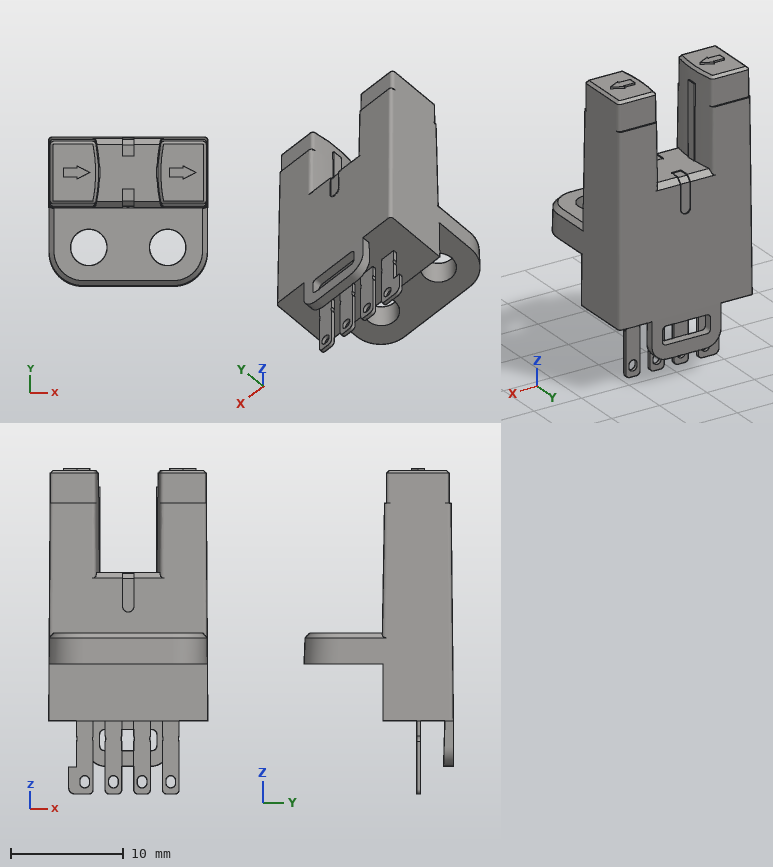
import cadquery as cq
import math


TOTAL_HEIGHT = 28.88
PIN_LENGTH = 6.5

BASE_WIDTH = 14.12
CROWN_WIDTH = 13.83
REAR_TOP_Y = -0.2
FRONT_BOTTOM_Y = -6.27
FRONT_FLANGE_Y = -6.32
FRONT_TOP_Y = -6.12
HEAD_SETBACK = 0.17
STEP_Z = 19.3
HOUSING_TOP_Z = 22.2
EDGE_RADIUS = 0.32
TOP_CHAMFER = 0.25
MIDDLE_Y = -3.15

SLOT_FLOOR_Z = 13.17
SLOT_FLOOR_HALF = 2.55
SLOT_TOP_HALF = 2.63
BULGE_RADIUS = 13.28
FLOOR_CHAMFER = 0.52
FLOOR_CHAMFER_Z = SLOT_FLOOR_Z - FLOOR_CHAMFER

STRIP_WIDTH = 1.0
STRIP_TOP_Z = 20.75
STRIP_HALF_GAP = 2.48

MARK_WIDTH = 1.0
MARK_BOTTOM_Z = 9.65
MARK_DEPTH = 0.1
MARK_FREE_LENGTH = 2.9

ARROW_HEIGHT = TOTAL_HEIGHT - PIN_LENGTH - HOUSING_TOP_Z
ARROW_TAILS_X = (-5.75, 3.67)
ARROW_LENGTH = 2.35
ARROW_SHAFT_LENGTH = 1.18
ARROW_SHAFT_WIDTH = 0.8
ARROW_HEAD_WIDTH = 1.18

FLANGE_BOTTOM_Z = 5.03
FLANGE_TOP_Z = 7.8
FLANGE_CHAMFER = 0.43
FLANGE_EDGE_Z = FLANGE_TOP_Z - FLANGE_CHAMFER
FLANGE_END_Y = -13.25
FLANGE_END_TAPER = 0.1
FLANGE_CORNER_RADIUS = 3.0
HOLE_DIAMETER = 3.2
HOLE_SPACING = 7.0
HOLE_Y = -9.8

PIN_COUNT = 4
PIN_PITCH = 2.55
PIN_WIDTH = 1.5
PIN_THICKNESS = 0.35
PIN_ROW_X = -0.043
PIN_ROW_Y = -3.1
PIN_CORNER_RADIUS = 0.4
PIN_HOLE_WIDTH = 0.85
PIN_HOLE_HEIGHT = 1.07
PIN_HOLE_Z = -5.4
NOTCH_Z = -1.6
NOTCH_LENGTH = 0.52
NOTCH_DEPTH = 0.05
TAB_WIDTH = 0.7
TAB_TOP_Z = -4.07
TAB_CORNER_RADIUS = 0.58
EMBED = 0.58

TONGUE_WIDTH = 7.28
TONGUE_LENGTH = 4.05
TONGUE_ROOT_THICKNESS = 0.78
TONGUE_TIP_THICKNESS = 0.9
TONGUE_CORNER_RADIUS = 1.65
WINDOW_WIDTH = 5.05
WINDOW_TOP_Z = -0.78
WINDOW_BOTTOM_Z = -2.63
WINDOW_CORNER_RADIUS = 0.4


def between(z, z0, value0, z1, value1):
    """Value at height z on the straight line through two known heights."""
    return value0 + (value1 - value0) * (z - z0) / (z1 - z0)


def half_width(z):
    return between(z, 0, BASE_WIDTH, HOUSING_TOP_Z, CROWN_WIDTH) / 2


def rear_y(z):
    return between(z, 0, 0, STEP_Z, REAR_TOP_Y)


def front_y(z):
    return between(z, FLANGE_EDGE_Z, FRONT_FLANGE_Y, STEP_Z, FRONT_TOP_Y)


def bulge_half_gap(z):
    return between(z, SLOT_FLOOR_Z, SLOT_FLOOR_HALF, HOUSING_TOP_Z, SLOT_TOP_HALF)


def skin(lower, upper):
    """Solid with straight walls between two closed wires."""
    return cq.Workplane(cq.Solid.makeLoft([lower.val(), upper.val()], True))


def upright_edges(body):
    """Edges that rise from the bottom face to the top face."""
    return body.edges("not (>Z or <Z)")


def block_plan(z, front):
    side = half_width(z)
    rear = rear_y(z)
    corners = [(side, rear), (side, front), (-side, front), (-side, rear)]
    return cq.Workplane("XY", origin=(0, 0, z)).polyline(corners).close()


def slot_end_half(z, end_y):
    """Half gap of the slot where the bulging arm face reaches the given Y."""
    sagitta = BULGE_RADIUS - math.sqrt(BULGE_RADIUS**2 - (end_y - MIDDLE_Y) ** 2)
    return bulge_half_gap(z) + sagitta


def arm_plan(z, setback=0.0):
    """Sharp-cornered section of the right arm, convex toward the slot."""
    side = half_width(z)
    rear = rear_y(min(z, STEP_Z)) - setback
    front = front_y(min(z, STEP_Z)) + setback
    front_end = (slot_end_half(z, front), front)
    rear_end = (slot_end_half(z, rear), rear)
    return (
        cq.Workplane("XY", origin=(0, 0, z))
        .moveTo(*front_end)
        .lineTo(side, front)
        .lineTo(side, rear)
        .lineTo(*rear_end)
        .threePointArc((bulge_half_gap(z), MIDDLE_Y), front_end)
        .close()
    )


def make_block():
    """Closed lower part of the housing, up to the chamfers of the slot floor."""
    base = skin(block_plan(0, FRONT_BOTTOM_Y), block_plan(FLANGE_EDGE_Z, FRONT_BOTTOM_Y))
    base = upright_edges(base).edges(">Y").fillet(EDGE_RADIUS)
    upper = skin(
        block_plan(FLANGE_EDGE_Z, FRONT_FLANGE_Y),
        block_plan(FLOOR_CHAMFER_Z, front_y(FLOOR_CHAMFER_Z)),
    )
    return base.union(upright_edges(upper).fillet(EDGE_RADIUS))


def slot_floor_profile():
    """YZ points, rear to front, of the slot floor and its two chamfers."""
    rear = rear_y(FLOOR_CHAMFER_Z)
    front = front_y(FLOOR_CHAMFER_Z)
    return [
        (rear, FLOOR_CHAMFER_Z),
        (rear - FLOOR_CHAMFER, SLOT_FLOOR_Z),
        (front + FLOOR_CHAMFER, SLOT_FLOOR_Z),
        (front, FLOOR_CHAMFER_Z),
    ]


def make_slot_floor():
    """Floor of the slot, chamfered at the front and rear, reaching into both arms."""
    half = slot_end_half(FLOOR_CHAMFER_Z, front_y(FLOOR_CHAMFER_Z)) + EDGE_RADIUS
    return cq.Workplane("YZ").polyline(slot_floor_profile()).close().extrude(half, both=True)


def make_right_arm():
    shank = skin(arm_plan(FLOOR_CHAMFER_Z), arm_plan(STEP_Z))
    shank = upright_edges(shank).fillet(EDGE_RADIUS)
    head = skin(arm_plan(STEP_Z, HEAD_SETBACK), arm_plan(HOUSING_TOP_Z, HEAD_SETBACK))
    head = upright_edges(head).fillet(EDGE_RADIUS).faces(">Z").chamfer(TOP_CHAMFER)
    strip = cq.Workplane("XY").box(
        EMBED, STRIP_WIDTH, STRIP_TOP_Z - FLOOR_CHAMFER_Z, centered=(False, True, False)
    ).translate((STRIP_HALF_GAP, MIDDLE_Y, FLOOR_CHAMFER_Z))
    return shank.union(head).union(strip)


def make_centre_mark():
    """Cutter for the mark: a round-bottomed prism around an untouched core."""
    radius = MARK_WIDTH / 2
    centre_z = MARK_BOTTOM_Z + radius
    reach = -FRONT_FLANGE_Y
    prism = (
        cq.Workplane("XZ", origin=(0, EMBED, 0))
        .moveTo(-radius, SLOT_FLOOR_Z + EMBED)
        .lineTo(-radius, centre_z)
        .threePointArc((0, MARK_BOTTOM_Z), (radius, centre_z))
        .lineTo(radius, SLOT_FLOOR_Z + EMBED)
        .close()
        .extrude(reach + 2 * EMBED)
    )
    rear_foot = (rear_y(FLANGE_TOP_Z), FLANGE_TOP_Z)
    front_foot = (front_y(FLANGE_TOP_Z), FLANGE_TOP_Z)
    core_profile = [rear_foot] + slot_floor_profile() + [front_foot]
    core = (
        cq.Workplane("YZ")
        .polyline(core_profile)
        .close()
        .offset2D(-MARK_DEPTH)
        .extrude(MARK_WIDTH, both=True)
    )
    free_floor = cq.Workplane("XY").box(
        2 * MARK_WIDTH, MARK_FREE_LENGTH, SLOT_FLOOR_Z
    ).translate((0, MIDDLE_Y, SLOT_FLOOR_Z))
    return prism.cut(core).cut(free_floor)


def make_arrow(tail_x):
    """Raised arrow that points along +X."""
    neck_x = tail_x + ARROW_SHAFT_LENGTH
    shaft = ARROW_SHAFT_WIDTH / 2
    head = ARROW_HEAD_WIDTH / 2
    outline = [
        (tail_x, -shaft),
        (neck_x, -shaft),
        (neck_x, -head),
        (tail_x + ARROW_LENGTH, 0),
        (neck_x, head),
        (neck_x, shaft),
        (tail_x, shaft),
    ]
    plane = cq.Workplane("XY", origin=(0, MIDDLE_Y, HOUSING_TOP_Z))
    return plane.polyline(outline).close().extrude(ARROW_HEIGHT)


def flange_plan(z, end_y, inset=0.0):
    """Flange section with two rounded outer corners, closed inside the housing."""
    side = half_width(z) - inset
    end = end_y + inset
    r = FLANGE_CORNER_RADIUS - inset
    diagonal = r * (1 - math.sqrt(0.5))
    return (
        cq.Workplane("XY", origin=(0, 0, z))
        .moveTo(-side, MIDDLE_Y)
        .lineTo(-side, end + r)
        .threePointArc((-side + diagonal, end + diagonal), (-side + r, end))
        .lineTo(side - r, end)
        .threePointArc((side - diagonal, end + diagonal), (side, end + r))
        .lineTo(side, MIDDLE_Y)
        .close()
    )


def make_flange():
    edge_end_y = FLANGE_END_Y + FLANGE_END_TAPER
    plate = skin(
        flange_plan(FLANGE_BOTTOM_Z, FLANGE_END_Y),
        flange_plan(FLANGE_EDGE_Z, edge_end_y),
    )
    rim = skin(
        flange_plan(FLANGE_EDGE_Z, edge_end_y),
        flange_plan(FLANGE_TOP_Z, edge_end_y, FLANGE_CHAMFER),
    )
    holes = (
        cq.Workplane("XY")
        .pushPoints([(-HOLE_SPACING / 2, HOLE_Y), (HOLE_SPACING / 2, HOLE_Y)])
        .circle(HOLE_DIAMETER / 2)
        .extrude(FLANGE_TOP_Z + EMBED)
    )
    return plate.union(rim).cut(holes)


def upright_plate(left, right, bottom, top, thickness):
    """Rectangular plate in an XZ plane, centred on Y = 0."""
    return cq.Workplane("XY").box(
        right - left, thickness, top - bottom, centered=(False, True, False)
    ).translate((left, 0, bottom))


def make_pin(with_tab):
    """Solder pin at X = 0 with edge notches and an eye; the first has a side tab."""
    half = PIN_WIDTH / 2
    pin = upright_plate(-half, half, -PIN_LENGTH, EMBED, PIN_THICKNESS)
    if with_tab:
        tab = upright_plate(-half - TAB_WIDTH, half, -PIN_LENGTH, TAB_TOP_Z, PIN_THICKNESS)
        pin = pin.union(tab)
        pin = pin.edges("|Y and <X and <Z").fillet(TAB_CORNER_RADIUS)
        pin = pin.edges("|Y and >X and <Z").fillet(PIN_CORNER_RADIUS)
    else:
        pin = pin.edges("|Y and <Z").fillet(PIN_CORNER_RADIUS)

    eye = (
        cq.Workplane("XZ", origin=(0, 0, PIN_HOLE_Z))
        .slot2D(PIN_HOLE_HEIGHT, PIN_HOLE_WIDTH, 90)
        .extrude(PIN_THICKNESS, both=True)
    )
    notch_radius = (NOTCH_LENGTH**2 / 4 + NOTCH_DEPTH**2) / (2 * NOTCH_DEPTH)
    notch_x = half - NOTCH_DEPTH + notch_radius
    notches = (
        cq.Workplane("XZ", origin=(0, 0, NOTCH_Z))
        .pushPoints([(-notch_x, 0), (notch_x, 0)])
        .circle(notch_radius)
        .extrude(PIN_THICKNESS, both=True)
    )
    return pin.cut(eye).cut(notches)


def make_tongue():
    """Rear tongue that thickens toward its tip, with rounded corners and a window."""
    tip = -TONGUE_TIP_THICKNESS
    root = -TONGUE_ROOT_THICKNESS
    side_profile = [
        (-EDGE_RADIUS, EMBED),
        (-EDGE_RADIUS, 0),
        (0, 0),
        (0, -TONGUE_LENGTH),
        (tip, -TONGUE_LENGTH),
        (root, 0),
        (root, EMBED),
    ]
    tongue = cq.Workplane("YZ").polyline(side_profile).close().extrude(TONGUE_WIDTH / 2, both=True)
    tongue = tongue.edges("|Y and <Z").fillet(TONGUE_CORNER_RADIUS)
    window = upright_plate(
        -WINDOW_WIDTH / 2, WINDOW_WIDTH / 2, WINDOW_BOTTOM_Z, WINDOW_TOP_Z, 4 * TONGUE_TIP_THICKNESS
    )
    return tongue.cut(window.edges("|Y").fillet(WINDOW_CORNER_RADIUS))


right_arm = make_right_arm()
result = make_block().union(make_slot_floor()).union(right_arm).union(right_arm.mirror("YZ"))
result = result.cut(make_centre_mark()).union(make_flange()).union(make_tongue())

for tail_x in ARROW_TAILS_X:
    result = result.union(make_arrow(tail_x))

for i in range(PIN_COUNT):
    pin_x = PIN_ROW_X + (i - (PIN_COUNT - 1) / 2) * PIN_PITCH
    result = result.union(make_pin(i == 0).translate((pin_x, PIN_ROW_Y, 0)))